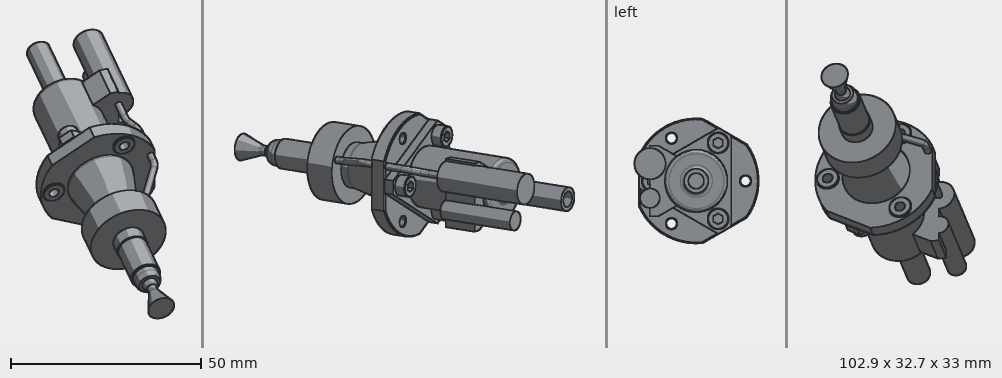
import cadquery as cq
import math

BODY_START = 19.9
BRACKET_START = 45.1
FLANGE_START = 47.7
FLANGE_END = 51.9
PAD_END = 52.5
CONE_END = 65.2
NECK_START = 65.6
DISC_START = 67.6
DISC_END = 75.4
COLLAR_END = 79.1
BARREL_END = 90.0
SHOULDER_START = 91.4
SHOULDER_END = 93.2
THROAT_START = 94.8
THROAT_END = 96.1
FLARE_START = 96.7
TIP_END = 102.9

BORE_RADIUS = 2.1
TUBE_RADIUS = 3.2
TUBE_FILLET = 1.0
BODY_RADIUS = 8.2
BODY_FILLET = 1.0
CONE_START_RADIUS = 9.1
CONE_END_RADIUS = 6.2
NECK_RADIUS = 6.1
DISC_RADIUS = 10.4
COLLAR_RADIUS = 4.2
CORE_CHAMFER = 0.2
BARREL_RADIUS = COLLAR_RADIUS - CORE_CHAMFER
SHOULDER_RADIUS = 3.5
SHOULDER_END_RADIUS = 2.9
HOLLOW_RADIUS = 2.1
THROAT_RADIUS = 1.3
FLARE_START_RADIUS = 1.4
TIP_RADIUS = 3.6

FLANGE_RADIUS = 16.5
FLANGE_CHAMFER = 0.3
FLAT_DISTANCE = 15.0
HOLE_CIRCLE_RADIUS = 13.0
HOLE_RADIUS = 1.3
HOLE_CHAMFER = 0.2
PAD_RADIUS = 3.0
PAD_CHAMFER = 0.2
BRACKET_INRADIUS = 9.2
FLAT_ANGLES = (0, 120, 240)
HOLE_ANGLES = (60, 180, 300)

SCREW_CIRCLE_RADIUS = 11.5
SCREW_RADIUS = 2.8
SCREW_HEIGHT = 3.1
SCREW_CHAMFER = 0.2
SOCKET_WIDTH = 2.5
SOCKET_DEPTH = 1.5

BLOCK_START = 21.3
BLOCK_END = 30.4
BLOCK_HEIGHT = 18.5
BLOCK_FACE_Y = 12.1
BLOCK_FLAT_DEPTH = 2.3
BLOCK_TAPER_ANGLE = 30
CYLINDER_OFFSET_Z = 4.5
LARGE_CYLINDER_START = 5.1
LARGE_CYLINDER_RADIUS = 4.1
SMALL_CYLINDER_START = 8.4
SMALL_CYLINDER_RADIUS = 2.6

LEAD_RADIUS = 0.9
LEAD_OUTER_OFFSET = 14.8
LEAD_DISC_OFFSET = 8.5
LEAD_RISE_START = 36.7
LEAD_RISE_END = 41.6
LEAD_DROP_START = 55.6
LEAD_DROP_END = 65.1
RISE_BEND_RADIUS = 7.2
DROP_BEND_RADIUS = 4.1


def rod(start, end, radius, y=0, z=0):
    """Cylinder along X between two stations."""
    return cq.Workplane("YZ", origin=(start, y, z)).circle(radius).extrude(end - start)


def on_circle(radius, angle):
    """Y and Z of a point on a circle about the X axis, measured from +Y."""
    return radius * math.cos(math.radians(angle)), radius * math.sin(math.radians(angle))


def half_space_cutter(start, end, distance, angle):
    """Block lying outside a flat at the given distance from the X axis."""
    size = 2 * FLANGE_RADIUS
    cutter = cq.Workplane("XY").box(end - start, size, 2 * size, centered=(False, False, True))
    return cutter.translate((start, distance, 0)).rotate((0, 0, 0), (1, 0, 0), angle)


def turned_core():
    """Tube, body, cone, disc, barrel and flared tip turned about X."""
    fillet_mid = math.sqrt(0.5)
    hollow_length = THROAT_START - SHOULDER_END
    hollow_depth = HOLLOW_RADIUS - THROAT_RADIUS
    hollow_slope = math.atan2(hollow_depth, hollow_length)
    hollow_sagitta = math.hypot(hollow_length, hollow_depth) / 2 * math.tan(hollow_slope / 2)
    return (
        cq.Workplane("XY")
        .moveTo(0, 0)
        .lineTo(0, TUBE_RADIUS)
        .lineTo(BODY_START - TUBE_FILLET, TUBE_RADIUS)
        .threePointArc(
            (
                BODY_START - TUBE_FILLET * (1 - fillet_mid),
                TUBE_RADIUS + TUBE_FILLET * (1 - fillet_mid),
            ),
            (BODY_START, TUBE_RADIUS + TUBE_FILLET),
        )
        .lineTo(BODY_START, BODY_RADIUS - BODY_FILLET)
        .threePointArc(
            (
                BODY_START + BODY_FILLET * (1 - fillet_mid),
                BODY_RADIUS - BODY_FILLET * (1 - fillet_mid),
            ),
            (BODY_START + BODY_FILLET, BODY_RADIUS),
        )
        .lineTo(BRACKET_START - CORE_CHAMFER, BODY_RADIUS)
        .lineTo(BRACKET_START, BODY_RADIUS - CORE_CHAMFER)
        .lineTo(FLANGE_START, BODY_RADIUS - CORE_CHAMFER)
        .lineTo(FLANGE_START, CONE_START_RADIUS)
        .lineTo(PAD_END, CONE_START_RADIUS)
        .lineTo(CONE_END, CONE_END_RADIUS)
        .tangentArcPoint((NECK_START, NECK_RADIUS), relative=False)
        .lineTo(DISC_START, NECK_RADIUS)
        .lineTo(DISC_START, DISC_RADIUS)
        .lineTo(DISC_END, DISC_RADIUS)
        .lineTo(DISC_END, COLLAR_RADIUS)
        .lineTo(COLLAR_END - CORE_CHAMFER, COLLAR_RADIUS)
        .lineTo(COLLAR_END, COLLAR_RADIUS - CORE_CHAMFER)
        .lineTo(BARREL_END - CORE_CHAMFER, BARREL_RADIUS)
        .lineTo(BARREL_END, BARREL_RADIUS - CORE_CHAMFER)
        .lineTo(BARREL_END, SHOULDER_RADIUS)
        .lineTo(SHOULDER_START, SHOULDER_RADIUS)
        .tangentArcPoint((SHOULDER_END, SHOULDER_END_RADIUS), relative=False)
        .lineTo(SHOULDER_END, HOLLOW_RADIUS)
        .sagittaArc((THROAT_START, THROAT_RADIUS), hollow_sagitta)
        .lineTo(THROAT_END, THROAT_RADIUS)
        .tangentArcPoint((FLARE_START, FLARE_START_RADIUS), relative=False)
        .lineTo(TIP_END, TIP_RADIUS)
        .lineTo(TIP_END, 0)
        .close()
        .revolve(360, (0, 0, 0), (1, 0, 0))
    )


def flange():
    """Round flange with three flats and a raised pad behind each hole."""
    plate = rod(FLANGE_START, FLANGE_END, FLANGE_RADIUS)
    for angle in FLAT_ANGLES:
        plate = plate.cut(half_space_cutter(FLANGE_START, FLANGE_END, FLAT_DISTANCE, angle))
    plate = plate.faces("<X").chamfer(FLANGE_CHAMFER)
    for angle in HOLE_ANGLES:
        y, z = on_circle(HOLE_CIRCLE_RADIUS, angle)
        pad = rod(FLANGE_END, PAD_END, PAD_RADIUS, y, z).faces(">X").chamfer(PAD_CHAMFER)
        hole = rod(FLANGE_START, PAD_END, HOLE_RADIUS, y, z)
        countersink = (
            cq.Workplane("YZ", origin=(FLANGE_START, y, z))
            .circle(HOLE_RADIUS + HOLE_CHAMFER)
            .workplane(offset=HOLE_CHAMFER)
            .circle(HOLE_RADIUS)
            .loft()
        )
        plate = plate.union(pad).cut(hole).cut(countersink)
    return plate


def bracket():
    """Triangular plate whose corners are cut level with the flange flats."""
    plate = rod(BRACKET_START, FLANGE_START, 2 * BRACKET_INRADIUS)
    for angle in HOLE_ANGLES:
        plate = plate.cut(half_space_cutter(BRACKET_START, FLANGE_START, BRACKET_INRADIUS, angle))
    for angle in FLAT_ANGLES:
        plate = plate.cut(half_space_cutter(BRACKET_START, FLANGE_START, FLAT_DISTANCE, angle))
    return plate


def screw_head(angle):
    """Cap screw head with a hexagon socket in its outer end."""
    y, z = on_circle(SCREW_CIRCLE_RADIUS, angle)
    start = BRACKET_START - SCREW_HEIGHT
    socket_diameter = SOCKET_WIDTH / math.cos(math.radians(30))
    socket = (
        cq.Workplane("YZ", origin=(start, y, z))
        .transformed(rotate=(0, 0, 30))
        .polygon(6, socket_diameter)
        .extrude(SOCKET_DEPTH)
    )
    head = rod(start, BRACKET_START, SCREW_RADIUS, y, z).faces("<X").chamfer(SCREW_CHAMFER)
    return head, socket


def clamp_block():
    """Block tapering from its outer face toward the body."""
    half_height = BLOCK_HEIGHT / 2
    taper_start = BLOCK_FACE_Y - BLOCK_FLAT_DEPTH
    axis_half_height = half_height - taper_start * math.tan(math.radians(BLOCK_TAPER_ANGLE))
    return (
        cq.Workplane("YZ", origin=(BLOCK_START, 0, 0))
        .moveTo(BLOCK_FACE_Y, half_height)
        .lineTo(taper_start, half_height)
        .lineTo(0, axis_half_height)
        .lineTo(0, -axis_half_height)
        .lineTo(taper_start, -half_height)
        .lineTo(BLOCK_FACE_Y, -half_height)
        .close()
        .extrude(BLOCK_END - BLOCK_START)
    )


def lead():
    """Round lead with bends that move it only toward or away from the X axis."""
    start_offset = math.hypot(BLOCK_FACE_Y, CYLINDER_OFFSET_Z)
    lead_angle = math.degrees(math.atan2(CYLINDER_OFFSET_Z, BLOCK_FACE_Y))
    rise_angle = math.atan2(LEAD_OUTER_OFFSET - start_offset, LEAD_RISE_END - LEAD_RISE_START)
    drop_angle = math.atan2(LEAD_OUTER_OFFSET - LEAD_DISC_OFFSET, LEAD_DROP_END - LEAD_DROP_START)
    bends = (
        (LEAD_RISE_START, start_offset, 0, rise_angle, RISE_BEND_RADIUS),
        (LEAD_RISE_END, LEAD_OUTER_OFFSET, rise_angle, 0, RISE_BEND_RADIUS),
        (LEAD_DROP_START, LEAD_OUTER_OFFSET, 0, -drop_angle, DROP_BEND_RADIUS),
        (LEAD_DROP_END, LEAD_DISC_OFFSET, -drop_angle, 0, DROP_BEND_RADIUS),
    )
    path = cq.Workplane("XY").moveTo(BLOCK_END, start_offset)
    for x, offset, slope_in, slope_out, bend_radius in bends:
        tangent = bend_radius * math.tan(abs(slope_out - slope_in) / 2)
        path = path.lineTo(x - tangent * math.cos(slope_in), offset - tangent * math.sin(slope_in))
        bend_end = (x + tangent * math.cos(slope_out), offset + tangent * math.sin(slope_out))
        path = path.tangentArcPoint(bend_end, relative=False)
    path = path.lineTo(DISC_START, LEAD_DISC_OFFSET)
    section = cq.Workplane("YZ", origin=(BLOCK_END, start_offset, 0)).circle(LEAD_RADIUS)
    return section.sweep(path).rotate((0, 0, 0), (1, 0, 0), lead_angle)


result = turned_core().union(flange()).union(bracket()).union(clamp_block())
result = result.union(
    rod(LARGE_CYLINDER_START, BLOCK_END, LARGE_CYLINDER_RADIUS, BLOCK_FACE_Y, CYLINDER_OFFSET_Z)
)
result = result.union(
    rod(SMALL_CYLINDER_START, BLOCK_END, SMALL_CYLINDER_RADIUS, BLOCK_FACE_Y, -CYLINDER_OFFSET_Z)
)
result = result.union(lead())
for screw_angle in FLAT_ANGLES:
    screw, screw_socket = screw_head(screw_angle)
    result = result.union(screw).cut(screw_socket)
result = result.cut(rod(0, BODY_START, BORE_RADIUS))